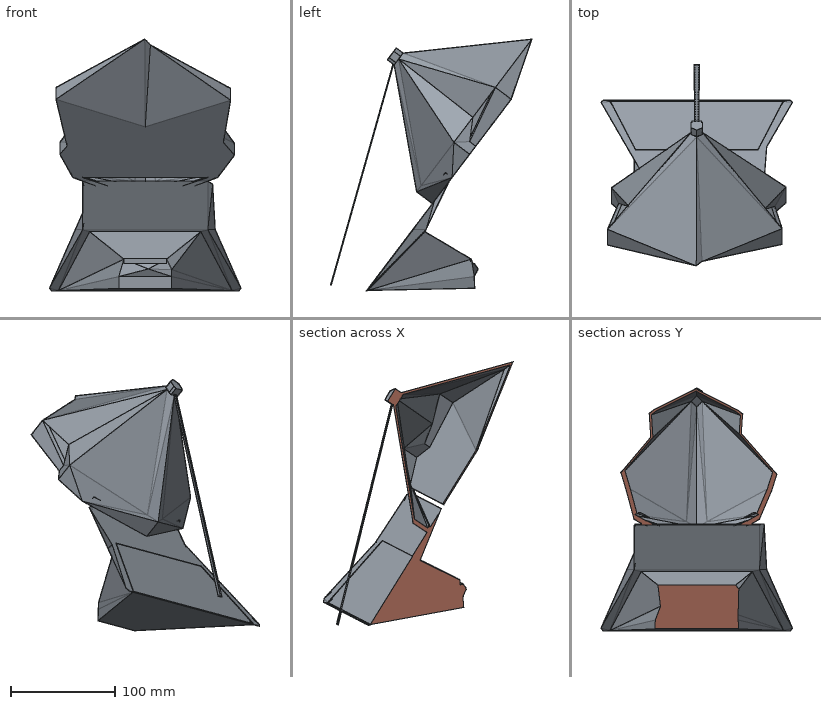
import cadquery as cq
import math

CROWN_TIP = (-0.5, -96.62, 241.79)
LEAN = math.radians(52.9)
lean_plane = cq.Plane(origin=CROWN_TIP, xDir=(1, 0, 0), normal=(0, math.sin(LEAN), math.cos(LEAN)))
CENTRE_X = -CROWN_TIP[0]
FRONT_DEPTH = 19.0

RIM_LENGTH = 183.6
WING_HALF_WIDTH = 83.8
WING_SHIFT = 1.85
UPPER_WING_T = 58.1
LOWER_WING_T = 124.2
RIGHT_WING_DROP = 1.1
NOTCH_HALF_WIDTH = 64.7
NOTCH_T = 94.0
RIGHT_NOTCH_RISE = 4.5
NOTCH_FOOT_HALF_WIDTH = 75.0
NOTCH_FOOT_DROP = 20.5
NOTCH_FOOT_DEPTH = 11.6
MASK_BOTTOM_T = 152.2
MASK_BOTTOM_HALF_WIDTH = 69.5
CHIN_SHOULDER_T = 176.3
CROWN_NICK_X = 5.0
CROWN_NICK_T = 7.0
CAVITY_SCALE = 0.95
CAVITY_CENTRE = (0.0, 95.0, -19.0)
MOUTH_HALF_WIDTH = 60.0
MOUTH_BOTTOM_T = 177.0
MOUTH_DEPTH = 8.0

KNOB_TOP_T = 85.2
KNOB_SHOULDER_T = 89.3
KNOB_LOWER_T = 96.8
KNOB_BOTTOM_T = 99.6
KNOB_HALF_WIDTH = 5.5
KNOB_BOTTOM_HALF_WIDTH = 4.5
KNOB_BASE_H = -90.5
KNOB_LENGTH = 8.2

NECK_TOP_T = 156.5
NECK_HALF_WIDTH = 60.0
NECK_BOTTOM_Y = 5.1
NECK_BOTTOM_Z = 58.9
WAIST_T = 214.8
WAIST_HALF_WIDTH = 67.2
NECK_LEFT_BACK_X = -55.0
NECK_LEFT_BACK_T = 180.0
NECK_RIGHT_BACK_X = 64.7
NECK_RIGHT_BACK_T = 160.0

BACK_HALF_WIDTH = 91.9
BACK_CORNER_T = 285.2
HEEL_HALF_WIDTH = 89.6
INNER_HEEL = (83.2, 61.0, 0.6)
UNDERCUT = (53.3, 6.0, 57.1)
LEDGE = (20.5, -38.5, 30.7)
FRONT_HALF_WIDTH = 25.4
FRONT_TOP_Y = -41.3
FRONT_TOP_Z = 14.0
FRONT_BOTTOM_Y = -41.8
FRONT_BOTTOM_Z = 2.7
NOSE_TIP = (3.0, -45.0, 21.3)
NOSE_CORNER = (FRONT_HALF_WIDTH, -41.0, 20.7)
SLOT_FLOOR_Z = 26.4
SLOT_DEPTH = 0.8
PANEL_BOTTOM_HALF_WIDTH = 82.8
PANEL_TOP_HALF_WIDTH = 58.7
PANEL_TOP_T = 210.0
PANEL_BOTTOM_T = 287.0
PANEL_DEPTH = 0.4

ROD_TOP = (0.0, 36.3, 218.0)
ROD_BOTTOM = (0.0, 96.24, 5.8)
ROD_TOP_WIDTH = 3.8
ROD_BOTTOM_WIDTH = 5.5
ROD_THICKNESS = 0.8
ROD_BACK_RATIO = 0.6


def lean_point(x, t, h):
    """Point given by its offset from the part's middle, its t and its h."""
    return lean_plane.toWorldCoords((x + CENTRE_X, t, -h))


def polyhedron(faces):
    """Solid bounded by the given point loops, each loop split into a fan of triangles."""
    triangles = []
    for loop in faces:
        points = [cq.Vector(p) for p in loop]
        for second, third in zip(points[1:], points[2:]):
            outline = cq.Wire.makePolygon([points[0], second, third], close=True)
            triangles.append(cq.Face.makeFromWires(outline))
    solid = cq.Solid.makeSolid(cq.Shell.makeShell(triangles))
    return cq.Workplane(solid.fix())


def lean_prism(outline, h_start, h_end):
    """Prism of an (x, t) outline between two depths of the leaning frame."""
    plane = cq.Plane(origin=lean_point(0, 0, h_start), xDir=lean_plane.xDir, normal=-lean_plane.zDir)
    mirrored = [(x, -t) for x, t in outline]
    return cq.Workplane(plane).polyline(mirrored).close().extrude(h_end - h_start)


def head_shell(scale):
    """Star-rimmed pyramid with its skirt and mask, scaled about the cavity centre."""
    centre = lean_point(*CAVITY_CENTRE)

    def at(x, t, h):
        return centre + (lean_point(x, t, h) - centre) * scale

    crown = at(-CENTRE_X, 0, 0)
    nick = at(CROWN_NICK_X, CROWN_NICK_T, 0)
    chin = at(0, RIM_LENGTH, 0)
    chin_foot = at(0, RIM_LENGTH, FRONT_DEPTH)
    mask_centre = at(0, (UPPER_WING_T + LOWER_WING_T) / 2, FRONT_DEPTH)
    peak_top = at(0, KNOB_TOP_T, KNOB_BASE_H)
    peak_bottom = at(0, KNOB_BOTTOM_T, KNOB_BASE_H)
    peak_t = (KNOB_TOP_T + KNOB_BOTTOM_T) / 2
    shoulder_x = WING_HALF_WIDTH * (RIM_LENGTH - CHIN_SHOULDER_T) / (RIM_LENGTH - LOWER_WING_T)

    faces = [[crown, nick, peak_top], [crown, nick, mask_centre]]
    for side, tip in ((-1, crown), (1, nick)):
        drop = RIGHT_WING_DROP if side > 0 else 0
        notch_t = NOTCH_T - (RIGHT_NOTCH_RISE if side > 0 else 0)
        upper_x = side * WING_HALF_WIDTH - WING_SHIFT
        lower_x = side * WING_HALF_WIDTH + WING_SHIFT
        upper = at(upper_x, UPPER_WING_T + drop, 0)
        upper_foot = at(upper_x, UPPER_WING_T + drop, FRONT_DEPTH)
        lower = at(lower_x, LOWER_WING_T + drop, 0)
        lower_foot = at(lower_x, LOWER_WING_T + drop, FRONT_DEPTH)
        notch = at(side * NOTCH_HALF_WIDTH, notch_t, 0)
        foot_x = side * NOTCH_FOOT_HALF_WIDTH
        notch_foot = at(foot_x, notch_t + NOTCH_FOOT_DROP, NOTCH_FOOT_DEPTH)
        notch_front = at(foot_x, notch_t + NOTCH_FOOT_DROP, FRONT_DEPTH)
        mask_corner = at(side * MASK_BOTTOM_HALF_WIDTH, MASK_BOTTOM_T, FRONT_DEPTH)
        shoulder = at(side * shoulder_x, CHIN_SHOULDER_T, 0)
        peak = at(side * KNOB_HALF_WIDTH, peak_t, KNOB_BASE_H)
        faces += [
            [peak_top, tip, upper],
            [peak_top, upper, peak],
            [peak, upper, notch],
            [peak, notch, lower],
            [peak, lower, shoulder],
            [peak, shoulder, peak_bottom],
            [peak_bottom, shoulder, chin],
            [peak_top, peak, peak_bottom],
            [tip, upper, upper_foot],
            [upper, notch, notch_foot],
            [upper, notch_foot, upper_foot],
            [notch_foot, notch_front, upper_foot],
            [notch, lower, notch_foot],
            [lower, lower_foot, notch_foot],
            [notch_foot, lower_foot, notch_front],
            [lower, mask_corner, lower_foot],
            [lower, shoulder, mask_corner],
            [shoulder, chin, mask_corner],
            [chin, chin_foot, mask_corner],
            [tip, upper_foot, mask_centre],
            [mask_centre, upper_foot, notch_front],
            [mask_centre, notch_front, lower_foot],
            [mask_centre, lower_foot, mask_corner],
            [mask_centre, mask_corner, chin_foot],
        ]
    return polyhedron(faces)


def make_head():
    mouth = lean_prism(
        [(-MOUTH_HALF_WIDTH, MASK_BOTTOM_T), (MOUTH_HALF_WIDTH, MASK_BOTTOM_T), (0, MOUTH_BOTTOM_T)],
        FRONT_DEPTH - MOUTH_DEPTH,
        FRONT_DEPTH + MOUTH_DEPTH,
    )
    return head_shell(1).cut(head_shell(CAVITY_SCALE)).cut(mouth)


def make_knob():
    outline = [
        (0, KNOB_TOP_T),
        (KNOB_HALF_WIDTH, KNOB_SHOULDER_T),
        (KNOB_HALF_WIDTH, KNOB_LOWER_T),
        (KNOB_BOTTOM_HALF_WIDTH, KNOB_BOTTOM_T),
        (-KNOB_BOTTOM_HALF_WIDTH, KNOB_BOTTOM_T),
        (-KNOB_HALF_WIDTH, KNOB_LOWER_T),
        (-KNOB_HALF_WIDTH, KNOB_SHOULDER_T),
    ]
    return lean_prism(outline, KNOB_BASE_H - KNOB_LENGTH, KNOB_BASE_H)


def make_base_and_neck():
    def pair(x, y, z):
        return cq.Vector(-x, y, z), cq.Vector(x, y, z)

    def back_pair(x, t):
        return lean_point(-x, t, FRONT_DEPTH), lean_point(x, t, FRONT_DEPTH)

    heel_t = (CROWN_TIP[2] - FRONT_DEPTH * math.cos(LEAN)) / math.sin(LEAN)
    neck_top = back_pair(NECK_HALF_WIDTH, NECK_TOP_T)
    neck_back = (
        lean_point(NECK_LEFT_BACK_X, NECK_LEFT_BACK_T, FRONT_DEPTH),
        lean_point(NECK_RIGHT_BACK_X, NECK_RIGHT_BACK_T, FRONT_DEPTH),
    )
    waist = back_pair(WAIST_HALF_WIDTH, WAIST_T)
    back_corner = back_pair(BACK_HALF_WIDTH, BACK_CORNER_T)
    heel = back_pair(HEEL_HALF_WIDTH, heel_t)
    neck_bottom = pair(NECK_HALF_WIDTH, NECK_BOTTOM_Y, NECK_BOTTOM_Z)
    inner_heel = pair(*INNER_HEEL)
    undercut = pair(*UNDERCUT)
    ledge = pair(*LEDGE)
    front_top = pair(FRONT_HALF_WIDTH, FRONT_TOP_Y, FRONT_TOP_Z)
    front_bottom = pair(FRONT_HALF_WIDTH, FRONT_BOTTOM_Y, FRONT_BOTTOM_Z)

    def across(upper, lower):
        return [upper[0], upper[1], lower[1], lower[0]]

    faces = [
        across(neck_top, neck_bottom),
        across(neck_bottom, undercut),
        across(undercut, ledge),
        across(front_top, front_bottom),
        across(front_bottom, inner_heel),
        across(inner_heel, heel),
        across(heel, back_corner),
        across(back_corner, waist),
        across(waist, neck_back),
        across(neck_back, neck_top),
        [ledge[0], ledge[1], NOSE_TIP],
        [front_top[0], front_top[1], NOSE_TIP],
        [ledge[0], front_top[0], NOSE_TIP],
        [ledge[1], NOSE_CORNER, NOSE_TIP],
        [NOSE_CORNER, front_top[1], NOSE_TIP],
        [undercut[1], ledge[1], NOSE_CORNER],
        [inner_heel[1], undercut[1], NOSE_CORNER, front_top[1]],
        [inner_heel[0], undercut[0], ledge[0], front_top[0]],
    ]
    for i in (0, 1):
        faces += [
            [neck_back[i], neck_top[i], neck_bottom[i], waist[i]],
            [neck_bottom[i], waist[i], back_corner[i]],
            [neck_bottom[i], back_corner[i], inner_heel[i], undercut[i]],
            [back_corner[i], heel[i], inner_heel[i]],
            [inner_heel[i], front_top[i], front_bottom[i]],
        ]
    body = polyhedron(faces)

    slot_length = 2 * LEDGE[0]
    slot_height = LEDGE[2] + SLOT_DEPTH - SLOT_FLOOR_Z
    slot_back_y = LEDGE[1] + SLOT_DEPTH
    slot_reach = slot_back_y - NOSE_TIP[1]
    slot = (
        cq.Workplane("XY", origin=(0, slot_back_y - slot_reach / 2, SLOT_FLOOR_Z))
        .box(slot_length, slot_reach, slot_height, centered=(True, True, False))
    )
    panel = lean_prism(
        [
            (-PANEL_TOP_HALF_WIDTH, PANEL_TOP_T),
            (PANEL_TOP_HALF_WIDTH, PANEL_TOP_T),
            (PANEL_BOTTOM_HALF_WIDTH, PANEL_BOTTOM_T),
            (-PANEL_BOTTOM_HALF_WIDTH, PANEL_BOTTOM_T),
        ],
        FRONT_DEPTH,
        FRONT_DEPTH + PANEL_DEPTH,
    )
    return body.cut(slot).cut(panel)


def make_rod():
    top = cq.Vector(ROD_TOP)
    axis = cq.Vector(ROD_BOTTOM) - top
    plane = cq.Plane(origin=ROD_TOP, xDir=(1, 0, 0), normal=axis.toTuple())

    def section(width):
        front = width / 2
        back = front * ROD_BACK_RATIO
        depth = ROD_THICKNESS / 2
        return [(-front, -depth), (front, -depth), (back, depth), (-back, depth)]

    return (
        cq.Workplane(plane)
        .polyline(section(ROD_TOP_WIDTH))
        .close()
        .workplane(offset=axis.Length)
        .polyline(section(ROD_BOTTOM_WIDTH))
        .close()
        .loft(ruled=True)
    )


knob = make_knob()
figure = make_head().union(knob).union(make_base_and_neck())
rod = make_rod().cut(knob)

result = cq.Compound.makeCompound([*figure.solids().vals(), *rod.solids().vals()])